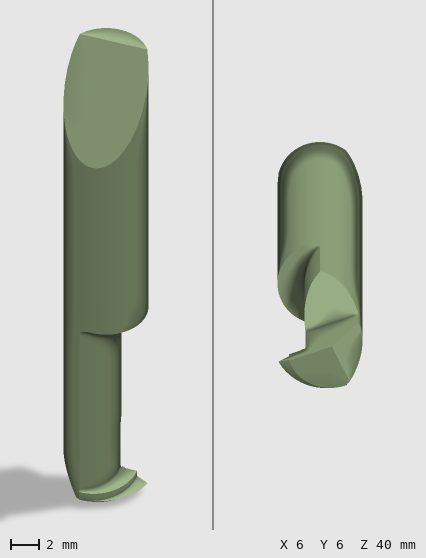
import cadquery as cq
import math

bar_radius = 3.0
overall_length = 40.0
slope_angle = 30.0
top_flat_start = 32.0

neck_axis_x = -2.0
neck_corner_x = neck_axis_x / 2
neck_top = 16.5
root_fillet = 0.6

head_height = 1.5
head_zone_height = 2.5
head_top_relief = 5.0
head_bottom_relief = 9.0
head_fillet = 0.2
flange_radius = 3.1
flange_center = (-0.9, 0.2)
tooth_tip_height = 0.58
tooth_flank_angle = 30.0
tooth_radius = 3.8
tooth_inner_radius = 2.0
tooth_axis_y = 0.95

cutting_face_y = 0.3
face_runout_bottom = 5.55

parting_angle = 20.0
parting_foot_x = -0.33

tooth_axis_x = bar_radius - math.sqrt(tooth_radius**2 - (tooth_axis_y - cutting_face_y) ** 2)

reach = 50.0


def cylinder(center, radius, bottom, top):
    return (
        cq.Workplane("XY", origin=(*center, bottom))
        .circle(radius)
        .extrude(top - bottom)
    )


def half_space(x, y, z):
    """Large block filling the given side (-1, 0 or 1 along each axis) of the origin."""
    block = cq.Workplane("XY").box(2 * reach, 2 * reach, 2 * reach)
    return block.translate((x * reach, y * reach, z * reach))


def tilted_about_x(block, angle, y, z):
    return block.rotate((0, 0, 0), (1, 0, 0), angle).translate((0, y, z))


def tilted_about_y(block, angle, x, z):
    return block.rotate((0, 0, 0), (0, 1, 0), angle).translate((x, 0, z))


def make_waist():
    """Neck cylinder between two oversize shoulders, with a fillet at each shoulder."""
    upper_shoulder = half_space(0, 0, 1).translate((0, 0, neck_top))
    lower_shoulder = tilted_about_x(
        half_space(0, 0, -1), head_top_relief, cutting_face_y, head_height
    )
    neck = cylinder((neck_axis_x, 0), bar_radius, 0, overall_length)
    waist = neck.union(upper_shoulder).union(lower_shoulder)
    middle = (neck_top + head_height) / 2
    neck_face = cq.selectors.NearestToPointSelector((neck_axis_x + bar_radius, 0, middle))
    upper_edge = waist.faces(neck_face).edges(">Z")
    waist = upper_edge.fillet(root_fillet)
    lower_edge = waist.faces(neck_face).edges("<Z")
    return lower_edge.fillet(head_fillet)


def make_outline():
    """Outer limit of the tool: the bar, replaced by the flange in the right part of the head."""
    right_side = half_space(1, 0, 0).translate((neck_corner_x, 0, 0))
    bar = cylinder((0, 0), bar_radius, 0, overall_length)
    head_zone = right_side.intersect(half_space(0, 0, -1).translate((0, 0, head_zone_height)))
    flange = cylinder(flange_center, flange_radius, 0, head_zone_height)
    return bar.cut(head_zone).union(flange.intersect(right_side))


def make_tooth():
    """Ring of triangular section with its point outward."""
    half_width = (tooth_radius - tooth_inner_radius) * math.tan(math.radians(tooth_flank_angle))
    ring = (
        cq.Workplane("XZ")
        .moveTo(tooth_radius, tooth_tip_height)
        .lineTo(tooth_inner_radius, tooth_tip_height + half_width)
        .lineTo(tooth_inner_radius, tooth_tip_height - half_width)
        .close()
        .revolve(360, (0, 0, 0), (0, 1, 0))
    )
    right_side = half_space(1, 0, 0).translate((neck_corner_x, 0, 0))
    return ring.translate((tooth_axis_x, tooth_axis_y, 0)).intersect(right_side)


def make_tool():
    tool = make_waist().intersect(make_outline()).union(make_tooth())

    top_flat = tilted_about_x(
        half_space(0, -1, 0), -slope_angle, -bar_radius, top_flat_start
    )
    face_runout = tilted_about_x(
        half_space(0, 1, 0), -slope_angle, cutting_face_y, face_runout_bottom
    )
    cutting_face = half_space(0, 1, 0).translate((0, cutting_face_y, 0))
    face_relief = face_runout.intersect(cutting_face)
    corner_cut = tilted_about_y(half_space(-1, 0, 0), -slope_angle, neck_corner_x, 0)
    bottom_relief = tilted_about_x(
        half_space(0, 0, -1), -head_bottom_relief, cutting_face_y, 0
    )
    for cutter in (top_flat, face_relief, corner_cut, bottom_relief):
        tool = tool.cut(cutter)
    return tool


def make_tip_region():
    """Everything on the +X side of the parting plane, ending below the shank."""
    tip_side = tilted_about_y(half_space(1, 0, 0), parting_angle, parting_foot_x, 0)
    return tip_side.intersect(half_space(0, 0, -1).translate((0, 0, neck_top / 2)))


whole_tool = make_tool()
tip_region = make_tip_region()

tool_body = whole_tool.cut(tip_region)

cutting_tip = whole_tool.intersect(tip_region)

result = cq.Compound.makeCompound([tool_body.val(), cutting_tip.val()])